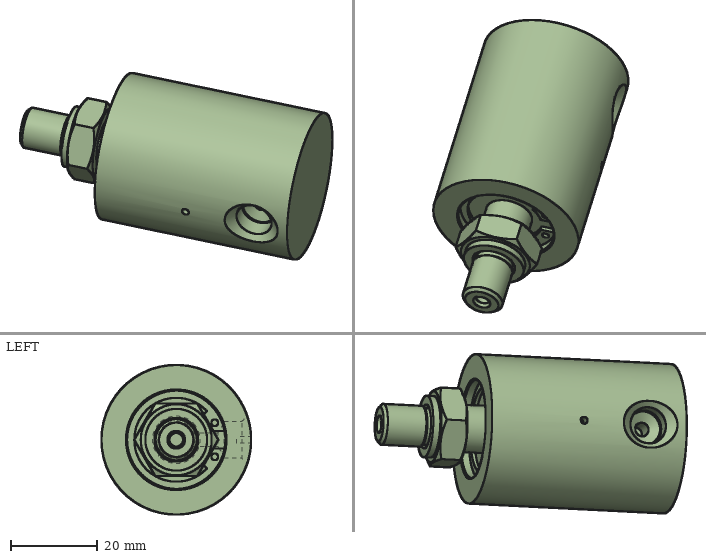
import cadquery as cq
import math

overall_length = 69.1
housing_diameter = 34.7
housing_start = 22.4

stud_diameter = 9.5
stud_tip_diameter = 7.95
stud_end = 10.0
neck_diameter = 8.6
neck_start = 10.4
flange_start = 11.05
flange_diameter = 14.3
nut_start = 12.7
nut_end = 19.0
shaft_diameter = 11.0
flange_recess_diameter = 10.15
flange_recess_floor_diameter = 9.8
flange_recess_depth = 1.0
bore_diameter = 3.2
bore_mouth_diameter = 4.1
bore_mouth_depth = 0.9
bore_depth = 41.45

nut_across_flats = 16.85
nut_chamfer_diameter = 16.45
nut_chamfer_angle = 30.0

mouth_diameter = 23.3
recess_diameter = 22.7
ring_inner_diameter = 19.4
ring_depth = 2.2
ring_thickness = 1.0
recess_floor = housing_start + ring_depth + ring_thickness
ear_inner_diameter = 16.0
ear_half_angle = 43.0
ring_gap = 3.95
ear_hole_diameter = 1.6
ear_hole_y = -8.9
ear_hole_z = 3.95

port_x = 60.4
port_mouth_diameter = 12.85
port_bore_diameter = 8.5
port_bore_length = 4.1
port_drill_diameter = 7.95
port_passage_diameter = 3.2
port_floor_diameter = 7.6
drill_point_angle = 118.0
vent_x = 44.4
vent_diameter = 1.6
vent_depth = 3.45


def cylinder_x(start, end, diameter):
    """Solid cylinder on the X axis."""
    return cq.Workplane("YZ", origin=(start, 0, 0)).circle(diameter / 2).extrude(end - start)


def revolved_about_x(points):
    """Revolve an (x, radius) outline about the X axis."""
    return cq.Workplane("XY").polyline(points).close().revolve(360, (0, 0, 0), (1, 0, 0))


def make_spindle():
    """Stud with tip chamfer and neck, flange with a tapered recess, and the shaft behind it."""
    stud_radius = stud_diameter / 2
    tip_radius = stud_tip_diameter / 2
    neck_radius = neck_diameter / 2
    flange_radius = flange_diameter / 2
    shaft_radius = shaft_diameter / 2
    return revolved_about_x([
        (0, 0),
        (0, tip_radius),
        (stud_radius - tip_radius, stud_radius),
        (stud_end, stud_radius),
        (neck_start, neck_radius),
        (flange_start + flange_recess_depth, neck_radius),
        (flange_start + flange_recess_depth, flange_recess_floor_diameter / 2),
        (flange_start, flange_recess_diameter / 2),
        (flange_start, flange_radius),
        (nut_start, flange_radius),
        (nut_start, shaft_radius),
        (recess_floor, shaft_radius),
        (recess_floor, 0),
    ])


def make_nut():
    """Hexagon nut with its corners chamfered at both ends."""
    corner_diameter = nut_across_flats / math.cos(math.pi / 6)
    corner_radius = corner_diameter / 2
    chamfer_radius = nut_chamfer_diameter / 2
    chamfer_length = (corner_radius - chamfer_radius) * math.tan(math.radians(nut_chamfer_angle))
    hexagon = (
        cq.Workplane("YZ", origin=(nut_start, 0, 0))
        .polygon(6, corner_diameter)
        .extrude(nut_end - nut_start)
    )
    chamfered_blank = revolved_about_x([
        (nut_start, 0),
        (nut_start, chamfer_radius),
        (nut_start + chamfer_length, corner_radius),
        (nut_end - chamfer_length, corner_radius),
        (nut_end, chamfer_radius),
        (nut_end, 0),
    ])
    return hexagon.intersect(chamfered_blank)


def make_housing():
    """Round housing with a chamfered recess in its -X face."""
    mouth_radius = mouth_diameter / 2
    recess_radius = recess_diameter / 2
    recess = revolved_about_x([
        (housing_start, 0),
        (housing_start, mouth_radius),
        (housing_start + mouth_radius - recess_radius, recess_radius),
        (recess_floor, recess_radius),
        (recess_floor, 0),
    ])
    return cylinder_x(housing_start, overall_length, housing_diameter).cut(recess)


def make_retaining_ring():
    """Split ring on the recess floor with two drilled ears beside its gap."""
    ring_start = housing_start + ring_depth
    outer_disc = cylinder_x(ring_start, recess_floor, recess_diameter)
    ring = outer_disc.cut(cylinder_x(ring_start, recess_floor, ring_inner_diameter))

    sector_size = recess_diameter
    sector_rise = sector_size * math.tan(math.radians(ear_half_angle))
    sector = (
        cq.Workplane("YZ", origin=(ring_start, 0, 0))
        .polyline([(0, 0), (-sector_size, sector_rise), (-sector_size, -sector_rise)])
        .close()
        .extrude(ring_thickness)
    )
    ears = outer_disc.intersect(sector).cut(cylinder_x(ring_start, recess_floor, ear_inner_diameter))

    gap = (
        cq.Workplane("YZ", origin=(ring_start, -recess_diameter / 2, 0))
        .rect(recess_diameter, ring_gap)
        .extrude(ring_thickness)
    )
    ear_holes = (
        cq.Workplane("YZ", origin=(ring_start, 0, 0))
        .pushPoints([(ear_hole_y, ear_hole_z), (ear_hole_y, -ear_hole_z)])
        .circle(ear_hole_diameter / 2)
        .extrude(ring_thickness)
    )
    return ring.union(ears).cut(gap).cut(ear_holes)


def make_port():
    """Countersunk port bored from -Y; its passage ends on a convex floor concentric with the X axis."""
    surface_y = -housing_diameter / 2
    mouth_radius = port_mouth_diameter / 2
    bore_radius = port_bore_diameter / 2
    drill_radius = port_drill_diameter / 2
    passage_radius = port_passage_diameter / 2
    bore_start_y = surface_y + mouth_radius - bore_radius
    bore_end_y = bore_start_y + port_bore_length
    point_length = (drill_radius - passage_radius) / math.tan(math.radians(drill_point_angle / 2))
    outline = [
        (0, surface_y),
        (mouth_radius, surface_y),
        (bore_radius, bore_start_y),
        (bore_radius, bore_end_y),
        (drill_radius, bore_end_y),
        (passage_radius, bore_end_y + point_length),
        (passage_radius, 0),
        (0, 0),
    ]
    port = (
        cq.Workplane("XY", origin=(port_x, 0, 0))
        .polyline(outline)
        .close()
        .revolve(360, (0, 0, 0), (0, 1, 0))
    )
    return port.cut(cylinder_x(housing_start, overall_length, port_floor_diameter))


def make_spindle_bore():
    """Blind bore along the X axis with a tapered mouth at the stud tip."""
    mouth_radius = bore_mouth_diameter / 2
    bore_radius = bore_diameter / 2
    return revolved_about_x([
        (0, 0),
        (0, mouth_radius),
        (bore_mouth_depth, bore_radius),
        (bore_depth, bore_radius),
        (bore_depth, 0),
    ])


def make_vent():
    """Small blind hole drilled from -Y."""
    return (
        cq.Workplane("XZ", origin=(vent_x, -housing_diameter / 2, 0))
        .circle(vent_diameter / 2)
        .extrude(-vent_depth)
    )


result = (
    make_housing()
    .union(make_spindle())
    .union(make_nut())
    .union(make_retaining_ring())
    .cut(make_port())
    .cut(make_spindle_bore())
    .cut(make_vent())
)